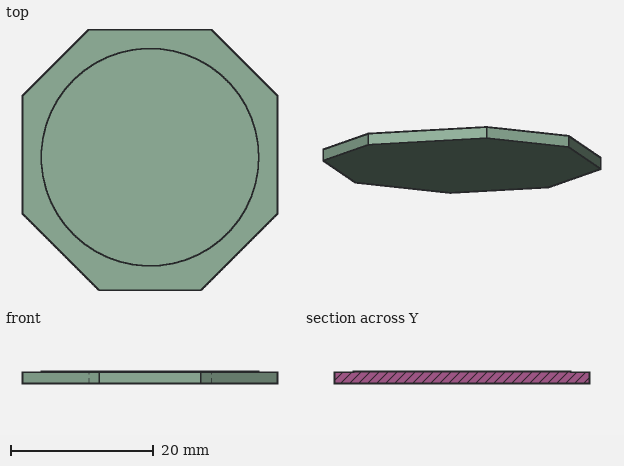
import cadquery as cq

width = 35.75
length = 36.53
half_width = width / 2
back_y = half_width
front_y = back_y - length
back_corner_cut = 9.28
front_corner_cut = 10.75

total_height = 1.7
disc_height = 0.1
plate_thickness = total_height - disc_height

disc_diameter = 30.45

right_side = [
    (half_width - front_corner_cut, front_y),
    (half_width, front_y + front_corner_cut),
    (half_width, back_y - back_corner_cut),
    (half_width - back_corner_cut, back_y),
]
left_side = [(-x, y) for x, y in reversed(right_side)]

plate = cq.Workplane("XY").polyline(right_side + left_side).close().extrude(plate_thickness)

disc = (
    cq.Workplane("XY")
    .workplane(offset=plate_thickness)
    .circle(disc_diameter / 2)
    .extrude(disc_height)
)

result = plate.union(disc)